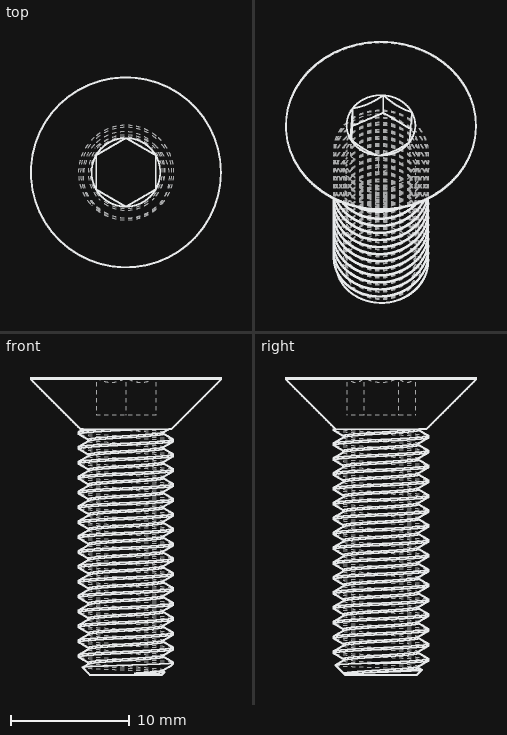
import cadquery as cq
import math

total_length = 25.0
head_diameter = 16.0
head_height = 4.32
rim_height = 0.15

thread_diameter = 8.0
root_diameter = 6.38
pitch = 1.25
overrun_turns = 2
flank_angle = 30.0
crest_width = pitch / 8
crest_height = 0.98
tip_diameter = 6.05

socket_across_flats = 5.0
socket_depth = 3.1

shaft_length = total_length - head_height
thread_radius = thread_diameter / 2
seam_angle = 37.0


def make_head():
    """45 degree countersunk head with a thin cylindrical rim."""
    rim_radius = head_diameter / 2
    neck_radius = rim_radius - (head_height - rim_height)
    return (
        cq.Workplane("XZ")
        .moveTo(0, shaft_length)
        .lineTo(neck_radius, shaft_length)
        .lineTo(rim_radius, total_length - rim_height)
        .lineTo(rim_radius, total_length)
        .lineTo(0, total_length)
        .close()
        .revolve(360, (0, 0, 0), (0, 1, 0))
    )


def make_groove_turn():
    """One turn of the right-handed trapezoidal thread groove, starting below the tip."""
    clearance = 0.08
    root_radius = root_diameter / 2
    outer_radius = thread_radius + clearance
    slope = math.tan(math.radians(flank_angle))
    half_mouth = (pitch - crest_width) / 2
    half_outer = half_mouth + clearance * slope
    half_root = half_mouth - (thread_radius - root_radius) * slope
    start = crest_height - pitch / 2 - overrun_turns * pitch

    profile = [
        (root_radius, start - half_root),
        (outer_radius, start - half_outer),
        (outer_radius, start + half_outer),
        (root_radius, start + half_root),
    ]

    helices = [cq.Wire.makeHelix(pitch, pitch, radius, cq.Vector(0, 0, z)) for radius, z in profile]
    faces = []
    for index, helix in enumerate(helices):
        faces += cq.Face.makeRuledSurface(helices[index - 1], helix).Faces()
    for rise in (0, pitch):
        corners = [cq.Vector(radius, 0, z + rise) for radius, z in profile]
        faces.append(cq.Face.makeFromWires(cq.Wire.makePolygon(corners, close=True)))
    return cq.Workplane(obj=cq.Solid.makeSolid(cq.Shell.makeShell(faces)))


def make_shaft():
    """Threaded shaft with a chamfered tip."""
    tip_chamfer = (thread_diameter - tip_diameter) / 2
    shaft = cq.Workplane("XY").circle(thread_radius).extrude(shaft_length)
    shaft = shaft.faces("<Z").chamfer(tip_chamfer)
    shaft = shaft.rotate((0, 0, 0), (0, 0, 1), seam_angle)
    groove_turn = make_groove_turn()
    turn_count = math.ceil(shaft_length / pitch) + 2 * overrun_turns
    for turn in range(turn_count):
        shaft = shaft.cut(groove_turn.translate((0, 0, turn * pitch)), clean=False)
    return shaft


def make_socket():
    """Hexagonal socket, corners on the Y axis, with a 45 degree conical lead-in."""
    across_corners = socket_across_flats / math.cos(math.pi / 6)
    corner_angle = 90
    corner_radius = across_corners / 2
    hexagon = (
        cq.Workplane("XY", origin=(0, 0, total_length))
        .transformed(rotate=(0, 0, corner_angle))
        .polygon(6, across_corners)
        .extrude(-socket_depth)
    )
    lead_in = cq.Workplane(obj=cq.Solid.makeCone(
        corner_radius, 0, corner_radius, cq.Vector(0, 0, total_length), cq.Vector(0, 0, -1)
    ))
    return hexagon.union(lead_in)


result = make_head().union(make_shaft(), clean=False).cut(make_socket(), clean=False)